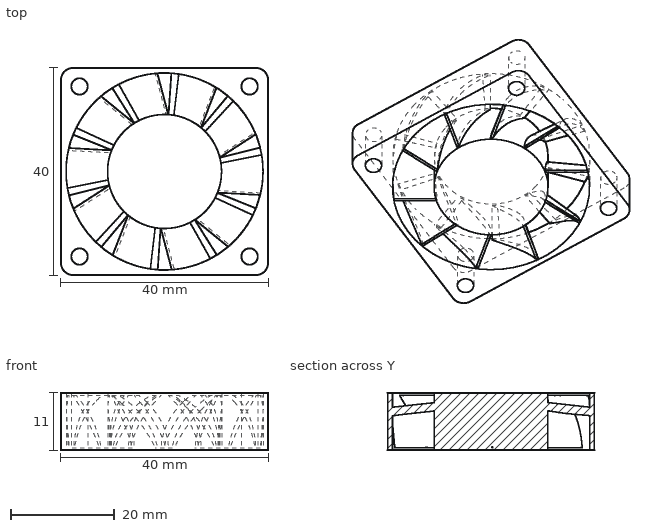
import cadquery as cq
import math

frame_side = 40.0
frame_height = 11.0
corner_radius = 2.4
bore_diameter = 38.0
hole_diameter = 3.1
hole_spacing = 32.8

hub_diameter = 22.0
blade_count = 10
first_blade_angle = 11.9
blade_end_gap = 0.5
trailing_angle = 2.2
blade_overlap = 0.2

inner_section_distance = 8.0
outer_section_distance = 20.0
leading_offset_at_axis = 0.5
leading_offset_growth = 0.011
sweep_at_axis = 3.65
sweep_growth = 0.27
lower_end_width = 0.5
inner_upper_bulge = 0.77
outer_upper_bulge = 0.71
lower_face_bulge = 0.63


def make_frame():
    """Square housing with rounded corners, a round duct and mounting holes."""
    return (
        cq.Workplane("XY")
        .rect(frame_side, frame_side)
        .extrude(frame_height)
        .edges("|Z")
        .fillet(corner_radius)
        .faces(">Z")
        .workplane()
        .circle(bore_diameter / 2)
        .cutThruAll()
        .faces(">Z")
        .workplane()
        .rect(hole_spacing, hole_spacing, forConstruction=True)
        .vertices()
        .hole(hole_diameter)
    )


def blade_section(distance, upper_bulge):
    """Curved blade profile on a plane at the given distance along +X."""
    bottom = blade_end_gap
    top = frame_height - blade_end_gap
    middle = frame_height / 2
    trailing = distance * math.tan(math.radians(trailing_angle))
    leading = -(leading_offset_at_axis + leading_offset_growth * distance)
    reach = -(sweep_at_axis + sweep_growth * distance)
    inner_reach = reach + lower_end_width
    upper_middle = leading + upper_bulge * (reach - leading)
    lower_middle = trailing + lower_face_bulge * (inner_reach - trailing)
    return (
        cq.Workplane("YZ", origin=(distance, 0, 0))
        .moveTo(trailing, top)
        .lineTo(leading, top)
        .threePointArc((upper_middle, middle), (reach, bottom))
        .lineTo(inner_reach, bottom)
        .threePointArc((lower_middle, middle), (trailing, top))
        .close()
        .val()
    )


def make_blade():
    """Ruled blade, trimmed to the annular duct."""
    sections = [
        blade_section(inner_section_distance, inner_upper_bulge),
        blade_section(outer_section_distance, outer_upper_bulge),
    ]
    blade = cq.Workplane(cq.Solid.makeLoft(sections, True))
    duct = (
        cq.Workplane("XY")
        .circle(bore_diameter / 2 + blade_overlap)
        .circle(hub_diameter / 2 - blade_overlap)
        .extrude(frame_height)
    )
    return blade.intersect(duct)


hub = cq.Workplane("XY").circle(hub_diameter / 2).extrude(frame_height)
result = make_frame().union(hub)

blade = make_blade()
for index in range(blade_count):
    angle = first_blade_angle + index * 360 / blade_count
    result = result.union(blade.rotate((0, 0, 0), (0, 0, 1), angle))